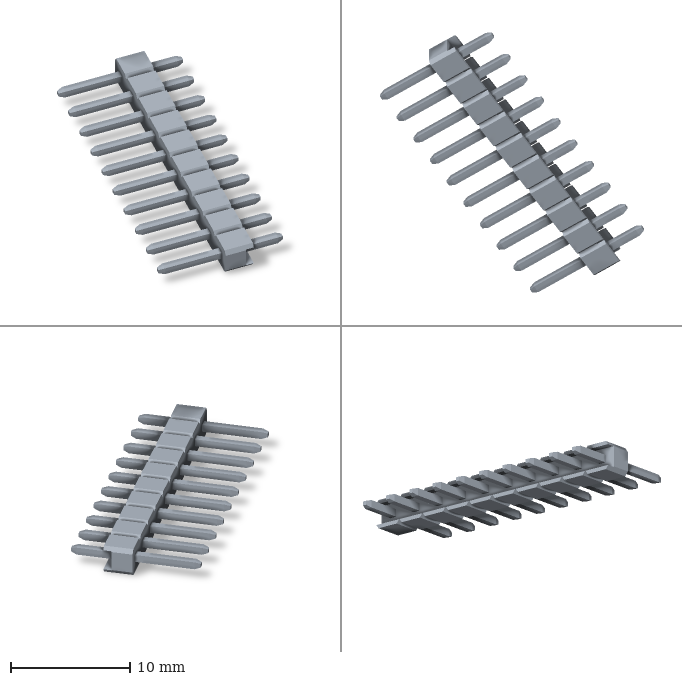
import cadquery as cq

pin_count = 10
strip_length = 25.4
pitch = strip_length / pin_count

housing_height = 2.5
housing_depth = 2.55
housing_front = 0.03
bevel_width = 0.28
bevel_height = 0.38

channel_depth = 0.7
lip_thickness = 0.33

pin_length = 11.2
pin_width = 0.65
tip_length = 0.5
tip_width = 0.35
pin_offset = -0.03

housing_back = housing_front + housing_depth
shaft_length = pin_length - 2 * tip_length
cell_positions = [(i - (pin_count - 1) / 2) * pitch for i in range(pin_count)]


def make_cell(x):
    """Octagonal block for one pin; the bevels of neighbours form V notches."""
    half_width = pitch / 2
    half_height = housing_height / 2
    flat_x = half_width - bevel_width
    flat_z = half_height - bevel_height
    outline = [
        (-half_width, -flat_z),
        (-flat_x, -half_height),
        (flat_x, -half_height),
        (half_width, -flat_z),
        (half_width, flat_z),
        (flat_x, half_height),
        (-flat_x, half_height),
        (-half_width, flat_z),
    ]
    return (
        cq.Workplane("XZ", origin=(x, housing_front, 0))
        .polyline(outline)
        .close()
        .extrude(-housing_depth)
    )


def make_channel():
    """Box that hollows the back face along the whole strip."""
    return cq.Workplane("XY").box(
        strip_length, channel_depth, housing_height - 2 * lip_thickness
    ).translate((0, housing_back - channel_depth / 2, 0))


def make_tip(x, direction):
    """Tapered pin end pointing toward +Y (direction 1) or -Y (direction -1)."""
    base = cq.Plane(
        origin=(x, direction * shaft_length / 2, 0),
        xDir=(1, 0, 0),
        normal=(0, direction, 0),
    )
    return (
        cq.Workplane(base)
        .rect(pin_width, pin_width)
        .workplane(offset=tip_length)
        .rect(tip_width, tip_width)
        .loft(ruled=True)
    )


def make_pin(x):
    """Square pin with a tapered tip at both ends."""
    shaft = cq.Workplane("XY").box(pin_width, shaft_length, pin_width).translate((x, 0, 0))
    return shaft.union(make_tip(x, 1)).union(make_tip(x, -1))


housing = make_cell(cell_positions[0])
for cell_x in cell_positions[1:]:
    housing = housing.union(make_cell(cell_x))
result = housing.clean().cut(make_channel())

for cell_x in cell_positions:
    result = result.union(make_pin(cell_x + pin_offset))